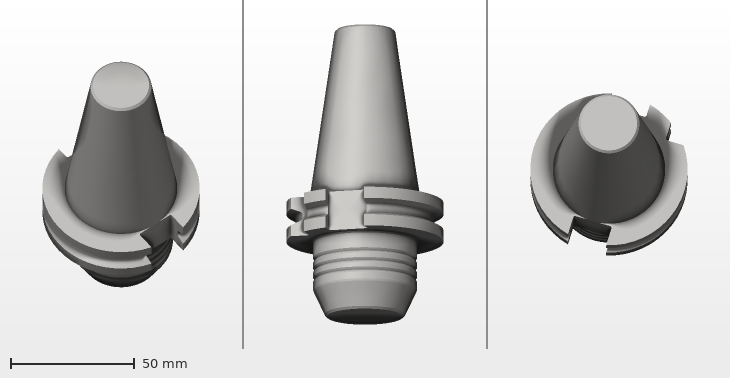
import cadquery as cq

total_height = 118.4
flange_bottom = 30.9
flange_height = 16.0
flange_top = flange_bottom + flange_height

flange_radius = 63.6 / 2
gripper_root_radius = 28.1
gripper_mid = flange_bottom + flange_height / 2
gripper_mouth = 6.7
gripper_root = 3.1
gripper_root_fillet = 1.0

taper_ratio = 7 / 24
taper_top_radius = 12.3
taper_base_radius = taper_top_radius + (total_height - flange_top) * taper_ratio / 2
taper_top_chamfer = 1.0

nose_radius = 42.0 / 2
nose_tip_radius = 16.3
nose_cone_height = 10.9
nose_shoulder_round = 2.0
nose_top_flare = 0.6
nose_edge_chamfer = 1.0
ring_groove_depth = 0.7
ring_groove_tops = (24.2, 20.1, 16.2)
ring_groove_height = 2.1

drive_slot_width = 16.1
drive_slot_left_floor = -25.2
drive_slot_right_floor = 22.6
slot_corner_radius = 0.7
notch_x = -18.4
notch_y = 18.4
notch_corner_radius = 1.0

edge_tolerance = 0.1


def circle_at(radius, height):
    """Selector for the circular edge of the given radius and height."""
    reach = radius + edge_tolerance
    return cq.selectors.BoxSelector(
        (-reach, -reach, height - edge_tolerance),
        (reach, reach, height + edge_tolerance),
        boundingbox=True,
    )


def turned_body():
    """Revolve the taper, the flange and the nose as one half profile."""
    nose_tip = nose_tip_radius - nose_edge_chamfer
    points = [
        (0, 0),
        (nose_tip, 0),
        (nose_tip_radius, nose_edge_chamfer),
        (nose_radius, nose_cone_height),
    ]
    groove_radius = nose_radius - ring_groove_depth
    for groove_top in reversed(ring_groove_tops):
        points += [
            (nose_radius, groove_top - ring_groove_height),
            (groove_radius, groove_top - ring_groove_height / 2),
            (nose_radius, groove_top),
        ]
    points += [
        (nose_radius, flange_bottom - nose_top_flare),
        (nose_radius + nose_top_flare, flange_bottom),
        (flange_radius, flange_bottom),
        (flange_radius, gripper_mid - gripper_mouth / 2),
        (gripper_root_radius, gripper_mid - gripper_root / 2),
        (gripper_root_radius, gripper_mid + gripper_root / 2),
        (flange_radius, gripper_mid + gripper_mouth / 2),
        (flange_radius, flange_top),
        (taper_base_radius, flange_top),
        (taper_top_radius, total_height - taper_top_chamfer),
        (taper_top_radius - taper_top_chamfer, total_height),
        (0, total_height),
    ]
    profile = cq.Workplane("XZ").polyline(points).close()
    body = profile.revolve(360, (0, 0, 0), (0, 1, 0))
    body = body.edges(circle_at(nose_radius, nose_cone_height)).fillet(nose_shoulder_round)
    for side in (-1, 1):
        root_edge = circle_at(gripper_root_radius, gripper_mid + side * gripper_root / 2)
        body = body.edges(root_edge).fillet(gripper_root_fillet)
    return body


def rim_cutter(x_start, x_end, y_start, y_end):
    """Block of flange height spanning the given X and Y ranges."""
    return (
        cq.Workplane("XY", origin=(0, 0, flange_bottom))
        .moveTo((x_start + x_end) / 2, (y_start + y_end) / 2)
        .rect(x_end - x_start, y_end - y_start)
        .extrude(flange_height)
    )


half_slot = drive_slot_width / 2
left_slot = rim_cutter(-flange_radius, drive_slot_left_floor, -half_slot, half_slot)
left_slot = left_slot.edges("|Z and >X").fillet(slot_corner_radius)
right_slot = rim_cutter(drive_slot_right_floor, flange_radius, -half_slot, half_slot)
right_slot = right_slot.edges("|Z and <X").fillet(slot_corner_radius)

notch = rim_cutter(-flange_radius, notch_x, notch_y, flange_radius)
notch = notch.edges("|Z and >X and <Y").fillet(notch_corner_radius)

result = turned_body().cut(left_slot).cut(right_slot).cut(notch)